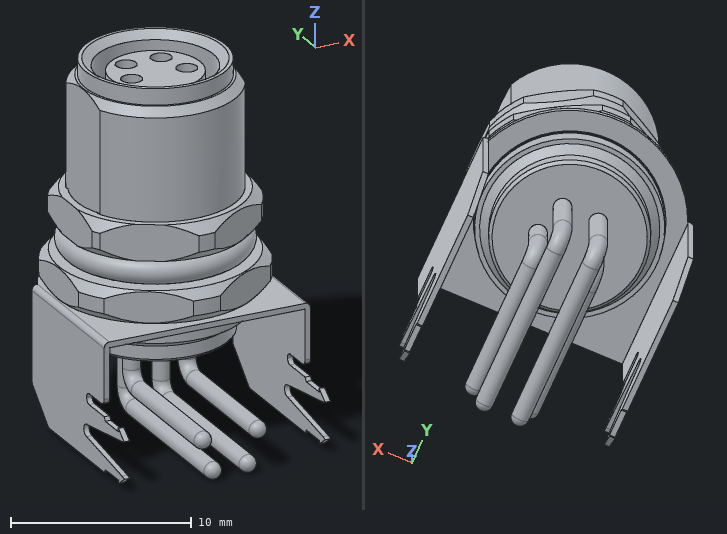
import cadquery as cq
import math


base_hex_height = 2.0
base_hex_flat_radius = 6.0
base_hex_corner_radius = 6.5
base_hex_chamfer = 0.55

barrel_radius = 4.98
barrel_core_radius = 4.87
barrel_flat_distance = 4.5
barrel_top = 12.02
barrel_chamfer = 0.5

tip_radius = 4.33
tip_height = 1.0
tip_bottom = barrel_top + barrel_chamfer
tip_top = tip_bottom + tip_height

seal_height = 1.52
seal_seat_depth = 0.02
seal_ring_radius = 4.85
seal_section_radius = (seal_height + seal_seat_depth) / 2

collar_radius = 5.35
collar_bottom = -0.5
flange_radius = 5.28
flange_bottom = -1.5
neck_radius = 4.5
taper_drop = 0.5
neck_bottom = -2.99
neck_chamfer = 0.2

mouth_radius = 4.1
bore_radius = 3.57
mouth_depth = 0.45
ledge_radius = 3.38
ledge_depth = 3.03
insert_radius = 2.77
insert_depth = 0.75
groove_depth = 4.33
groove_seal_radius = 0.25
contact_hole_radius = 0.6
contact_hole_depth = 3.25

pin_radius = 0.52
pin_bend_radius = 1.0
pin_tip_y = -9.8
pin_runs = [(1.08, 1.47, -7.62), (1.7, -0.48, -5.67)]

nut_height = 2.2
nut_bottom = base_hex_height + seal_height
nut_top = nut_bottom + nut_height
nut_flat_radius = 5.5
nut_corner_radius = 6.0
nut_chamfer = 0.6
nut_hex_shift = (0.2, 0.09)

sheet = 0.35
bracket_width = 12.8
bend_radius = 0.32
plate_back_radius = 6.55
plate_front_y = -6.5
leg_back_y = 2.55
leg_bottom = -7.84
leg_chamfer_y = 2.08
leg_chamfer_z = 1.9

fork_axis_z = -6.15
fork_half_height = fork_axis_z - leg_bottom
prong_half_height = 1.47
prong_shoulder = 0.15
barb_y = -8.25
prong_tip_y = -9.0
prong_tip_half_height = 1.13
slit_mouth_y = -8.75
slit_mouth_half_height = 1.05
slit_inner_y = -4.3
slit_inner_half_height = 0.37
slit_end_y = -3.95

relief_height = 0.65
relief_end_y = -4.3
relief_corner_radius = 0.3
leg_front_corner_radius = 0.4


def disc(radius, bottom, height):
    return cq.Workplane("XY").workplane(offset=bottom).circle(radius).extrude(height)


def revolved_arc(start, middle, end):
    """Ring about the Z axis whose section, in (radius, Z), is an arc closed by its chord."""
    section = cq.Workplane("XZ").moveTo(*start).threePointArc(middle, end).close()
    return section.revolve(360, (0, 0), (0, 1))


def make_seal():
    """Round seal ring between base hexagon and nut; its inner part is cut straight inside the barrel."""
    middle_z = nut_bottom - seal_section_radius
    chord_offset = seal_section_radius * math.sin(math.pi / 4)
    chord_radius = seal_ring_radius - chord_offset
    return revolved_arc(
        (chord_radius, middle_z - chord_offset),
        (seal_ring_radius + seal_section_radius, middle_z),
        (chord_radius, middle_z + chord_offset),
    )


def make_groove_seal():
    """Half-round bead on the floor of the ring groove."""
    bead_radius = (insert_radius + ledge_radius) / 2
    floor_z = tip_top - groove_depth
    return revolved_arc(
        (bead_radius - groove_seal_radius, floor_z),
        (bead_radius, floor_z + groove_seal_radius),
        (bead_radius + groove_seal_radius, floor_z),
    )


def chamfered_hexagon(flat_radius, corner_radius, chamfer, bottom, height, shift=(0, 0)):
    """Hexagon with flats facing +X and -X, trimmed by a disc that is chamfered at both ends."""
    hexagon = (
        cq.Workplane("XY")
        .workplane(offset=bottom)
        .polygon(6, 2 * flat_radius, circumscribed=True)
        .extrude(height)
        .translate((shift[0], shift[1], 0))
    )
    return hexagon.intersect(disc(corner_radius, bottom, height).edges().chamfer(chamfer))


def make_barrel():
    """Barrel with a reduced core below, two flats along its whole length and a plain round tip."""
    barrel = disc(barrel_radius, nut_top, tip_bottom - nut_top)
    barrel = barrel.faces(">Z").edges().chamfer(barrel_chamfer)
    barrel = barrel.union(disc(barrel_core_radius, base_hex_height, nut_top - base_hex_height))
    slab = cq.Workplane("XY").box(2 * barrel_flat_distance, 4 * barrel_radius, 4 * tip_top)
    return barrel.intersect(slab).union(disc(tip_radius, tip_bottom, tip_height))


def make_base():
    """Collar, flange and tapered neck below the base hexagon."""
    taper_bottom = flange_bottom - taper_drop
    outline = [
        (0, 0),
        (collar_radius, 0),
        (collar_radius, collar_bottom),
        (flange_radius, collar_bottom),
        (flange_radius, flange_bottom),
        (neck_radius + taper_drop, flange_bottom),
        (neck_radius, taper_bottom),
        (neck_radius, neck_bottom + neck_chamfer),
        (neck_radius - neck_chamfer, neck_bottom),
        (0, neck_bottom),
    ]
    return cq.Workplane("XZ").polyline(outline).close().revolve(360, (0, 0), (0, 1))


def make_mating_cavity():
    """Conical mouth, bore and ring groove that leave the contact insert standing."""
    outline = [
        (0, tip_top),
        (mouth_radius, tip_top),
        (bore_radius, tip_top - mouth_depth),
        (bore_radius, tip_top - ledge_depth),
        (ledge_radius, tip_top - ledge_depth),
        (ledge_radius, tip_top - groove_depth),
        (insert_radius, tip_top - groove_depth),
        (insert_radius, tip_top - insert_depth),
        (0, tip_top - insert_depth),
    ]
    return cq.Workplane("XZ").polyline(outline).close().revolve(360, (0, 0), (0, 1))


def make_pin(x, y, z):
    """Pin that runs down from the neck, bends and runs out toward -Y to a round end."""
    bend_top = z + pin_bend_radius
    bend_front = y - pin_bend_radius
    bend_offset = pin_bend_radius * (1 - math.cos(math.pi / 4))
    end_y = pin_tip_y + pin_radius
    path = (
        cq.Workplane("YZ", origin=(x, 0, 0))
        .moveTo(y, neck_bottom + neck_chamfer)
        .lineTo(y, bend_top)
        .threePointArc((y - bend_offset, z + bend_offset), (bend_front, z))
        .lineTo(end_y, z)
    )
    start = cq.Workplane("XY", origin=(x, y, neck_bottom + neck_chamfer))
    rod = start.circle(pin_radius).sweep(path)
    return rod.union(cq.Workplane("XY", origin=(x, end_y, z)).sphere(pin_radius))


def make_socket():
    socket = chamfered_hexagon(
        base_hex_flat_radius, base_hex_corner_radius, base_hex_chamfer, 0, base_hex_height
    )
    socket = socket.union(make_base()).union(make_barrel()).union(make_seal())
    socket = socket.cut(make_mating_cavity()).union(make_groove_seal())

    insert_top = tip_top - insert_depth
    for x, y, z in pin_runs:
        for side in (-1, 1):
            hole = disc(contact_hole_radius, insert_top - contact_hole_depth, contact_hole_depth)
            socket = socket.cut(hole.translate((side * x, y, 0)))
            socket = socket.union(make_pin(side * x, y, z))
    return socket


def make_nut():
    nut = chamfered_hexagon(
        nut_flat_radius, nut_corner_radius, nut_chamfer, nut_bottom, nut_height, nut_hex_shift
    )
    return nut.cut(disc(barrel_core_radius, nut_bottom, nut_height))


def make_leg_blank():
    """Both legs in side outline, before the slots, as one block across the bracket."""
    shoulder_y = plate_front_y - prong_shoulder
    prong_top = fork_axis_z + prong_half_height
    prong_bottom = fork_axis_z - prong_half_height
    fork_top = fork_axis_z + fork_half_height
    outline = [
        (leg_back_y, 0),
        (plate_front_y, 0),
        (plate_front_y, fork_top),
        (shoulder_y, prong_top),
        (barb_y, prong_top),
        (barb_y, fork_top),
        (prong_tip_y, fork_axis_z + prong_tip_half_height),
        (slit_mouth_y, fork_axis_z + slit_mouth_half_height),
        (slit_mouth_y, fork_axis_z - slit_mouth_half_height),
        (prong_tip_y, fork_axis_z - prong_tip_half_height),
        (barb_y, leg_bottom),
        (barb_y, prong_bottom),
        (shoulder_y, prong_bottom),
        (plate_front_y, leg_bottom),
        (leg_back_y - leg_chamfer_y, leg_bottom),
        (leg_back_y, leg_bottom + leg_chamfer_z),
    ]
    side = cq.Workplane("YZ", origin=(-bracket_width / 2, 0, 0))
    return side.polyline(outline).close().extrude(bracket_width)


def make_fork_slit():
    """Tapered slit with a round end between the two prongs."""
    return (
        cq.Workplane("YZ", origin=(-bracket_width / 2, 0, fork_axis_z))
        .moveTo(slit_mouth_y, slit_mouth_half_height)
        .lineTo(slit_inner_y, slit_inner_half_height)
        .threePointArc((slit_end_y, 0), (slit_inner_y, -slit_inner_half_height))
        .lineTo(slit_mouth_y, -slit_mouth_half_height)
        .close()
        .extrude(bracket_width)
    )


def make_relief_slot():
    """Slot above the fork, with rounded inner corners and a rounded lead-in at the leg's front edge."""
    bottom = fork_axis_z + fork_half_height
    top = bottom + relief_height
    slot_length = relief_end_y - plate_front_y
    middle_y = relief_end_y - slot_length / 2
    slot = (
        cq.Workplane("XY")
        .box(bracket_width, slot_length, relief_height)
        .edges("|X and >Y")
        .fillet(relief_corner_radius)
        .translate((0, middle_y, bottom + relief_height / 2))
    )
    corner_round = (
        cq.Workplane("YZ", origin=(-bracket_width / 2, plate_front_y, top))
        .lineTo(leg_front_corner_radius, 0)
        .radiusArc((0, leg_front_corner_radius), leg_front_corner_radius)
        .close()
        .extrude(bracket_width)
    )
    return slot.union(corner_round)


def make_bracket():
    legs = make_leg_blank().cut(make_fork_slit()).cut(make_relief_slot())
    legs = legs.intersect(
        cq.Workplane("XY")
        .box(bracket_width, 4 * plate_back_radius, 4 * plate_back_radius)
        .translate((0, 0, -2 * plate_back_radius))
        .edges("|Y and >Z")
        .fillet(bend_radius)
    )
    gap = cq.Workplane("XY").box(
        bracket_width - 2 * sheet, 4 * plate_back_radius, 4 * plate_back_radius
    )
    bracket = legs.cut(gap.translate((0, 0, -sheet - 2 * plate_back_radius)))

    behind_legs = cq.Workplane("XY").box(4 * plate_back_radius, 2 * plate_back_radius, 4 * sheet)
    rounded_back = disc(plate_back_radius, -sheet, sheet).intersect(
        behind_legs.translate((0, leg_back_y + plate_back_radius, 0))
    )
    bracket = bracket.union(rounded_back)
    return bracket.cut(disc(collar_radius, -sheet, sheet))


socket = make_socket()
nut = make_nut()
bracket = make_bracket()

result = cq.Compound.makeCompound(
    [socket.solids().val(), nut.solids().val(), bracket.solids().val()]
)